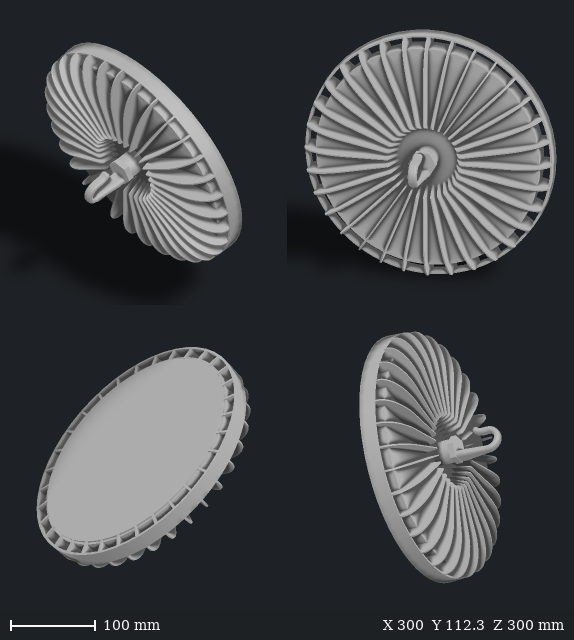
import cadquery as cq
import math

lamp_length = 112.28

disc_radius = 135.0
disc_front = -28.4
cover_radius = 264.02 / 2
cover_thickness = 2.0

rim_radius = 150.0
rim_front_radius = 149.1
rim_inner_radius = 147.0
rim_front = -22.4
rim_back = -2.6
rim_middle_radius = (rim_radius + rim_inner_radius) / 2
back_slope = rim_back / (rim_radius - cover_radius)
rim_inner_back = back_slope * (rim_inner_radius - cover_radius)

fin_count = 32
fin_front = -50.0
fin_base_thickness = 3.0
fin_tip_thickness = 1.4
fin_root_inner_radius = 35.0
fin_front_inner_radius = 43.5
fin_inner_fillet = 4.0
fin_curve_start = -26.0
fin_curve_width = 50.0
fin_curve_depth = fin_curve_start - fin_front
fin_root_overlap = 1.0

shank_radius = 28.05 / 2
hex_across_flats = 29.0
hex_across_corners = hex_across_flats / math.cos(math.radians(30))
hex_front = -57.2
stem_width = 18.2
stem_thickness = 8.8
stem_front = -66.2
neck_front = -94.0
rod_width = 11.1
rod_thickness = 7.3
bend_radius = 12.6
bend_center_y = -lamp_length + bend_radius + rod_thickness / 2
lower_leg_z = -9.8
upper_leg_z = lower_leg_z + 2 * bend_radius
upper_leg_back = -88.8
tip_angle = math.radians(35)
tip_length = 5.0
tip_fillet = 3.2


def turned(points):
    """Ring or disc made by turning an (r, y) outline about the Y axis."""
    return cq.Workplane("XY").polyline(points).close().revolve(360, (0, 0), (0, 1))


def disc(radius, back, front):
    return cq.Workplane("XZ", origin=(0, back, 0)).circle(radius).extrude(back - front)


def make_fin():
    """One fin along +X: a side outline cut from a bar of tapering thickness."""
    curve_center_radius = rim_front_radius - fin_curve_width
    root_y = disc_front + fin_root_overlap
    outline = (
        cq.Workplane("XY")
        .moveTo(fin_root_inner_radius, root_y)
        .lineTo(fin_root_inner_radius, disc_front)
        .lineTo(fin_front_inner_radius, fin_front)
        .lineTo(curve_center_radius, fin_front)
        .ellipseArc(fin_curve_width, fin_curve_depth, 270, 360, startAtCurrent=True)
        .lineTo(rim_front_radius, rim_front)
        .lineTo(rim_middle_radius, rim_front)
        .lineTo(rim_middle_radius, rim_back)
        .lineTo(rim_inner_radius, rim_inner_back)
        .lineTo(cover_radius, 0)
        .lineTo(cover_radius, root_y)
        .close()
        .extrude(fin_base_thickness / 2, both=True)
        .edges(cq.selectors.NearestToPointSelector((fin_front_inner_radius, fin_front, 0)))
        .fillet(fin_inner_fillet)
    )
    half_base = fin_base_thickness / 2
    half_tip = fin_tip_thickness / 2
    tapered_bar = (
        cq.Workplane("YZ")
        .polyline([(0, -half_base), (0, half_base), (fin_front, half_tip), (fin_front, -half_tip)])
        .close()
        .extrude(rim_radius)
    )
    return outline.intersect(tapered_bar)


def make_housing():
    rim = turned([
        (rim_radius, rim_back),
        (rim_front_radius, rim_front),
        (rim_inner_radius, rim_front),
        (rim_inner_radius, rim_inner_back),
    ])
    body = disc(disc_radius, -cover_thickness, disc_front)
    fin = make_fin()
    fins = [
        fin.rotate((0, 0, 0), (0, 1, 0), i * 360 / fin_count).val()
        for i in range(fin_count)
    ]
    solid = body.val().fuse(rim.val(), *fins)
    cover_seat = disc(cover_radius, 0, -cover_thickness)
    return cq.Workplane(solid).cut(cover_seat)


def make_cover():
    return disc(cover_radius, 0, -cover_thickness)


def make_rod():
    """Bent rod from the neck, round the hook bend, to the upturned tip."""
    arc_end = (
        upper_leg_back + bend_radius * math.sin(tip_angle),
        upper_leg_z + bend_radius * (1 - math.cos(tip_angle)),
    )
    arc_middle = (
        upper_leg_back + bend_radius * math.sin(tip_angle / 2),
        upper_leg_z + bend_radius * (1 - math.cos(tip_angle / 2)),
    )
    tip_end = (
        arc_end[0] + tip_length * math.cos(tip_angle),
        arc_end[1] + tip_length * math.sin(tip_angle),
    )
    path = (
        cq.Workplane("YZ")
        .moveTo(neck_front, lower_leg_z)
        .lineTo(bend_center_y, lower_leg_z)
        .threePointArc(
            (bend_center_y - bend_radius, lower_leg_z + bend_radius),
            (bend_center_y, upper_leg_z),
        )
        .lineTo(upper_leg_back, upper_leg_z)
        .threePointArc(arc_middle, arc_end)
        .lineTo(*tip_end)
    )
    rod = (
        cq.Workplane("XZ", origin=(0, neck_front, lower_leg_z))
        .slot2D(rod_width, rod_thickness)
        .sweep(path)
    )
    tip_face = cq.selectors.NearestToPointSelector((0, *tip_end))
    return rod.faces(tip_face).edges().fillet(tip_fillet)


def make_hook():
    shank = disc(shank_radius, disc_front, fin_front)
    hexagon = (
        cq.Workplane("XZ", origin=(0, fin_front, 0))
        .polygon(6, hex_across_corners)
        .extrude(fin_front - hex_front)
    )
    stem = (
        cq.Workplane("XZ", origin=(0, hex_front, lower_leg_z))
        .slot2D(stem_width, stem_thickness)
        .extrude(hex_front - stem_front)
    )
    neck = (
        cq.Workplane("XZ", origin=(0, stem_front, lower_leg_z))
        .slot2D(stem_width, stem_thickness)
        .workplane(offset=stem_front - neck_front)
        .slot2D(rod_width, rod_thickness)
        .loft(combine=True)
    )
    return shank.union(hexagon).union(stem).union(neck).union(make_rod())


housing = make_housing()
cover = make_cover()
hook = make_hook()

result = cq.Compound.makeCompound([housing.val(), cover.val(), hook.val()])